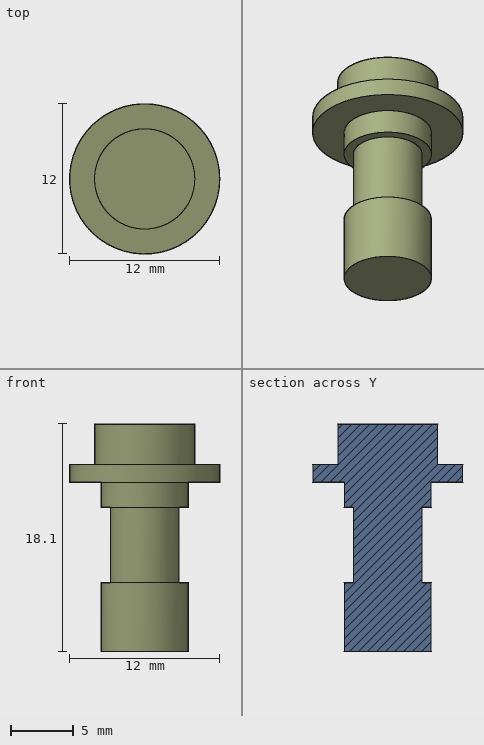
import cadquery as cq

total_height = 18.15

body_diameter = 6.97
neck_diameter = 5.48
flange_diameter = 12.0
cap_diameter = 8.0

base_height = 5.5
neck_height = 6.0
collar_height = 2.0
flange_height = 1.43
cap_height = total_height - base_height - neck_height - collar_height - flange_height

sections = [
    (body_diameter, base_height),
    (neck_diameter, neck_height),
    (body_diameter, collar_height),
    (flange_diameter, flange_height),
    (cap_diameter, cap_height),
]


def stack_cylinders(stack):
    """Build coaxial cylinders, each standing on top of the previous one."""
    body = cq.Workplane("XY")
    bottom = 0.0
    for diameter, height in stack:
        section = cq.Workplane("XY").workplane(offset=bottom).circle(diameter / 2).extrude(height)
        body = body.union(section)
        bottom += height
    return body


result = stack_cylinders(sections)